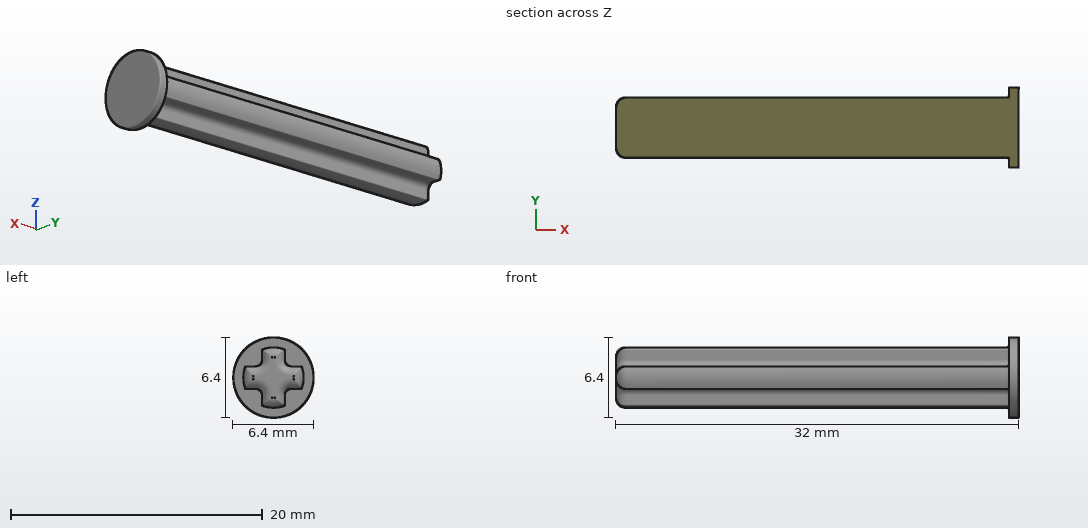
import cadquery as cq

total_length = 32.0
head_diameter = 6.4
head_thickness = 0.8
head_edge_radius = 0.1

shaft_diameter = 4.8
arm_width = 1.8
inner_corner_radius = 0.5
arm_edge_radius = 0.1
tip_radius = 0.8
root_radius = 0.1

shaft_length = total_length - head_thickness


def axial_box(x_start, x_end, half_size, whole_edges=False):
    """Selector for edges in a square box centred on the axis, by centre or by whole extent."""
    return cq.selectors.BoxSelector(
        (x_start, -half_size, -half_size),
        (x_end, half_size, half_size),
        boundingbox=whole_edges,
    )


def make_shaft():
    """Cross-section shaft with round arm ends, hollow inner corners and a rounded tip."""
    vertical_bar = cq.Workplane("YZ").rect(arm_width, head_diameter).extrude(shaft_length)
    horizontal_bar = cq.Workplane("YZ").rect(head_diameter, arm_width).extrude(shaft_length)
    cross = vertical_bar.union(horizontal_bar)

    core = axial_box(0, shaft_length, arm_width)
    cross = cross.edges("|X").edges(core).fillet(inner_corner_radius)

    envelope = cq.Workplane("YZ").circle(shaft_diameter / 2).extrude(shaft_length)
    shaft = cross.intersect(envelope)
    shaft = shaft.faces("<X").edges().fillet(tip_radius)

    lengthwise = cq.selectors.ParallelDirSelector(cq.Vector(1, 0, 0))
    return shaft.edges(lengthwise - core).fillet(arm_edge_radius)


def make_head():
    """Flat round head with lightly rounded rims."""
    head_plane = cq.Workplane("YZ", origin=(shaft_length, 0, 0))
    disc = head_plane.circle(head_diameter / 2).extrude(head_thickness)
    return disc.edges("%CIRCLE").fillet(head_edge_radius)


def round_shaft_root(pin):
    """Small fillet where the shaft meets the underside of the head."""
    root = axial_box(
        shaft_length - root_radius,
        shaft_length + root_radius,
        shaft_diameter / 2 + root_radius,
        whole_edges=True,
    )
    return pin.edges(root).fillet(root_radius)


result = round_shaft_root(make_shaft().union(make_head()))